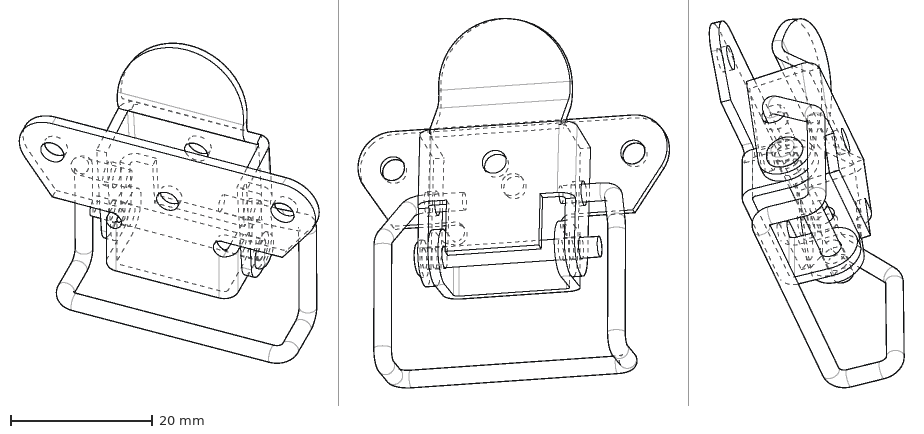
import cadquery as cq
import math

SHEET = 1.5
BEND_OUTER = 2.1
BEND_INNER = BEND_OUTER - SHEET
FLANGE_OUTER_X = 9.9
LEG_OUTER_X = FLANGE_OUTER_X + SHEET
PIVOT_RADIUS = 4.0
PIVOT_Y = 7.5
PIVOT_Z = PIVOT_RADIUS
PIVOT_HOLE_DIA = 3.15

PLATE_WIDTH = 44.95
PLATE_TOP_Z = 25.0
EAR_RADIUS = 5.0
EAR_X = PLATE_WIDTH / 2 - EAR_RADIUS
EAR_Z = PLATE_TOP_Z - EAR_RADIUS
WING_BOTTOM_Z = 11.0
MOUNT_HOLE_DIA = 3.5
MOUNT_HOLE_Z = 19.5
CENTER_HOLE_DIA = 3.25
CENTER_HOLE_Z = 15.95
RELIEF_RADIUS = 1.5
RELIEF_X = FLANGE_OUTER_X - SHEET
RELIEF_Z = WING_BOTTOM_Z - RELIEF_RADIUS

LEVER_TILT = 6.0
LEVER_TOP = 17.0
WEB_BACK = 6.4
WEB_BOTTOM = 6.0
TONGUE_WIDTH = 13.6
TONGUE_BOTTOM = -1.85
WEB_HOLE_DIA = 3.5
WEB_HOLE_HEIGHT = 11.4
WIRE_HOLE_DIA = 3.5
WIRE_HOLE_Y = -0.8
WIRE_HOLE_Z = 8.7
TAB_RADIUS = 9.55
ARM_LEAN = 40.0
BLADE_LEAN = 20.0
ARM_LENGTH = 6.6
TAB_BEND_INNER = 3.0
TAB_BEND_OUTER = TAB_BEND_INNER + SHEET

PIN_DIA = 2.95
PIN_TIP_X = -14.1
PIN_HEAD_DIA = 5.4
PIN_HEAD_HEIGHT = 1.05
PIN_HEAD_ROUND = 0.95

WIRE_DIA = 2.55
WIRE_BEND = 2.0
BAIL_SHIFT_X = -1.05
BAIL_X = 17.0
BAR_Y = 4.9
BAR_Z = -12.8
BAIL_BACK_Y = 13.9
ELBOW_Y = 13.7
ELBOW_Z = 5.3
EYE_X = 14.55
EYE_Y = 5.8
EYE_Z = 12.6
WIRE_END_X = 7.0


def x_cylinder(diameter, x_start, x_end, y, z):
    """Cylinder along X."""
    return (
        cq.Workplane("YZ", origin=(x_start, 0, 0))
        .center(y, z)
        .circle(diameter / 2)
        .extrude(x_end - x_start)
    )


def y_cylinder(diameter, x, y_start, y_end, z):
    """Cylinder along Y."""
    return (
        cq.Workplane("XZ", origin=(0, y_start, 0))
        .center(x, z)
        .circle(diameter / 2)
        .extrude(y_start - y_end)
    )


def bent_channel(outer_x, web_y, open_y, bottom_z, top_z):
    """U-shaped sheet channel with its web at web_y and two sides reaching at least to open_y."""
    depth = open_y - web_y

    def rounded_block(half_width, face_y, radius):
        return (
            cq.Workplane("XY", origin=(0, face_y + depth, bottom_z))
            .rect(2 * half_width, 2 * abs(depth))
            .extrude(top_z - bottom_z)
            .edges("|Z")
            .fillet(radius)
        )

    outer = rounded_block(outer_x, web_y, BEND_OUTER)
    inner = rounded_block(outer_x - SHEET, web_y + math.copysign(SHEET, depth), BEND_INNER)
    return outer.cut(inner)


def ear_tangent_point():
    """Point where the slanted wing edge, starting below the ear centre, meets the ear arc."""
    angle = math.asin(EAR_RADIUS / (EAR_Z - WING_BOTTOM_Z))
    return EAR_X + EAR_RADIUS * math.cos(angle), EAR_Z - EAR_RADIUS * math.sin(angle)


def make_bracket():
    tangent_x, tangent_z = ear_tangent_point()
    mid_angle = (math.pi / 2 - math.asin((EAR_Z - tangent_z) / EAR_RADIUS)) / 2
    mid_x = EAR_X + EAR_RADIUS * math.cos(mid_angle)
    mid_z = EAR_Z + EAR_RADIUS * math.sin(mid_angle)
    wings = (
        cq.Workplane("XZ")
        .moveTo(-EAR_X, WING_BOTTOM_Z)
        .lineTo(EAR_X, WING_BOTTOM_Z)
        .lineTo(tangent_x, tangent_z)
        .threePointArc((mid_x, mid_z), (EAR_X, PLATE_TOP_Z))
        .lineTo(-EAR_X, PLATE_TOP_Z)
        .threePointArc((-mid_x, mid_z), (-tangent_x, tangent_z))
        .close()
        .extrude(-SHEET)
    )

    flange_back = PIVOT_Y + PIVOT_RADIUS
    channel = bent_channel(FLANGE_OUTER_X, 0, flange_back, 0, WING_BOTTOM_Z)
    side_outline = (
        cq.Workplane("YZ", origin=(-FLANGE_OUTER_X, 0, 0))
        .lineTo(PIVOT_Y, 0)
        .threePointArc((flange_back, PIVOT_Z), (PIVOT_Y, 2 * PIVOT_RADIUS))
        .lineTo(SHEET, 2 * PIVOT_RADIUS)
        .lineTo(SHEET, WING_BOTTOM_Z)
        .lineTo(0, WING_BOTTOM_Z)
        .close()
        .extrude(2 * FLANGE_OUTER_X)
    )
    bracket = wings.union(channel.intersect(side_outline))

    slot_length = FLANGE_OUTER_X - RELIEF_X
    for side in (-1, 1):
        relief = y_cylinder(2 * RELIEF_RADIUS, side * RELIEF_X, 0, BEND_OUTER, RELIEF_Z)
        slot = cq.Workplane("XY").box(
            slot_length, BEND_OUTER, 2 * RELIEF_RADIUS, centered=(True, False, True)
        )
        slot = slot.translate((side * (RELIEF_X + slot_length / 2), 0, RELIEF_Z))
        bracket = bracket.cut(relief).cut(slot)

    for x in (-EAR_X, EAR_X):
        bracket = bracket.cut(y_cylinder(MOUNT_HOLE_DIA, x, 0, SHEET, MOUNT_HOLE_Z))
    bracket = bracket.cut(y_cylinder(CENTER_HOLE_DIA, 0, 0, SHEET, CENTER_HOLE_Z))
    pivot = x_cylinder(PIVOT_HOLE_DIA, -FLANGE_OUTER_X, FLANGE_OUTER_X, PIVOT_Y, PIVOT_Z)
    return bracket.cut(pivot)


def make_lever_channel():
    """U-shaped channel: two legs around the pivot joined by the back web."""
    channel = bent_channel(LEG_OUTER_X, WEB_BACK, -PIVOT_RADIUS, -PIVOT_RADIUS, LEVER_TOP)
    side_outline = (
        cq.Workplane("YZ", origin=(-LEG_OUTER_X, 0, 0))
        .moveTo(-PIVOT_RADIUS, 0)
        .threePointArc((0, -PIVOT_RADIUS), (PIVOT_RADIUS, 0))
        .lineTo(PIVOT_RADIUS, WEB_BOTTOM)
        .lineTo(WEB_BACK, WEB_BOTTOM)
        .lineTo(WEB_BACK, LEVER_TOP)
        .lineTo(-PIVOT_RADIUS, LEVER_TOP)
        .close()
        .extrude(2 * LEG_OUTER_X)
    )
    tongue = cq.Workplane("XY").box(
        TONGUE_WIDTH, SHEET, WEB_BOTTOM - TONGUE_BOTTOM, centered=(True, False, False)
    )
    tongue = tongue.translate((0, WEB_BACK - SHEET, TONGUE_BOTTOM))
    return channel.intersect(side_outline).union(tongue)


def make_thumb_tab():
    """Arm leaning forward from the web top, a round bend, and a blade leaning back."""
    arm = math.radians(ARM_LEAN)
    blade = math.radians(BLADE_LEAN)
    middle = (arm - blade) / 2
    miter_drop = SHEET * math.tan(arm / 2)
    arm_end_y = WEB_BACK - ARM_LENGTH * math.sin(arm)
    arm_end_z = LEVER_TOP + ARM_LENGTH * math.cos(arm)
    bend_y = arm_end_y + TAB_BEND_INNER * math.cos(arm)
    bend_z = arm_end_z + TAB_BEND_INNER * math.sin(arm)

    def on_bend(radius, lean):
        return bend_y - radius * math.cos(lean), bend_z - radius * math.sin(lean)

    strip = (
        cq.Workplane("YZ", origin=(-TAB_RADIUS, 0, 0))
        .moveTo(WEB_BACK, LEVER_TOP)
        .lineTo(*on_bend(TAB_BEND_INNER, arm))
        .threePointArc(on_bend(TAB_BEND_INNER, middle), on_bend(TAB_BEND_INNER, -blade))
        .lineTo(*on_bend(TAB_BEND_OUTER, -blade))
        .threePointArc(on_bend(TAB_BEND_OUTER, middle), on_bend(TAB_BEND_OUTER, arm))
        .lineTo(WEB_BACK - SHEET, LEVER_TOP - miter_drop)
        .lineTo(WEB_BACK, LEVER_TOP - miter_drop)
        .close()
        .extrude(2 * TAB_RADIUS)
    )
    blade_plane = cq.Plane(
        origin=(0, *on_bend(TAB_BEND_OUTER, -blade)),
        xDir=(1, 0, 0),
        normal=(0, -math.cos(blade), math.sin(blade)),
    )
    round_end = (
        cq.Workplane(blade_plane)
        .moveTo(-TAB_RADIUS, 0)
        .threePointArc((0, TAB_RADIUS), (TAB_RADIUS, 0))
        .close()
        .extrude(-SHEET)
    )
    return strip.union(round_end)


def make_lever():
    lever = make_lever_channel().union(make_thumb_tab())
    lever = lever.cut(x_cylinder(PIVOT_HOLE_DIA, -LEG_OUTER_X, LEG_OUTER_X, 0, 0))
    lever = lever.cut(x_cylinder(WIRE_HOLE_DIA, -LEG_OUTER_X, LEG_OUTER_X, WIRE_HOLE_Y, WIRE_HOLE_Z))
    lever = lever.cut(y_cylinder(WEB_HOLE_DIA, 0, WEB_BACK - SHEET, WEB_BACK, WEB_HOLE_HEIGHT))
    return lever.rotate((0, 0, 0), (1, 0, 0), LEVER_TILT).translate((0, PIVOT_Y, PIVOT_Z))


def make_pin():
    shank = x_cylinder(PIN_DIA, PIN_TIP_X, LEG_OUTER_X, PIVOT_Y, PIVOT_Z)
    head = x_cylinder(PIN_HEAD_DIA, LEG_OUTER_X, LEG_OUTER_X + PIN_HEAD_HEIGHT, PIVOT_Y, PIVOT_Z)
    return shank.union(head.faces(">X").edges().fillet(PIN_HEAD_ROUND))


def rounded_path(corners, radius):
    """Straight segments through the corners, joined by tangent arcs."""
    points = [cq.Vector(*corner) for corner in corners]
    edges = []
    start = points[0]
    for before, corner, after in zip(points, points[1:], points[2:]):
        back = (before - corner).normalized()
        ahead = (after - corner).normalized()
        half_angle = back.getAngle(ahead) / 2
        setback = radius / math.tan(half_angle)
        arc_gap = radius / math.sin(half_angle) - radius
        arc_start = corner + back * setback
        arc_middle = corner + (back + ahead).normalized() * arc_gap
        arc_end = corner + ahead * setback
        edges.append(cq.Edge.makeLine(start, arc_start))
        edges.append(cq.Edge.makeThreePointArc(arc_start, arc_middle, arc_end))
        start = arc_end
    edges.append(cq.Edge.makeLine(start, points[-1]))
    return cq.Wire.assembleEdges(edges)


def make_bail():
    """Bent wire: its two ends enter the lever legs and its front bar runs along X."""
    left_half = [
        (-WIRE_END_X, EYE_Y, EYE_Z),
        (-EYE_X, EYE_Y, EYE_Z),
        (-BAIL_X, ELBOW_Y, ELBOW_Z),
        (-BAIL_X, BAIL_BACK_Y, BAR_Z),
        (-BAIL_X, BAR_Y, BAR_Z),
    ]
    right_half = [(-x, y, z) for x, y, z in reversed(left_half)]
    path = rounded_path(left_half + right_half, WIRE_BEND)
    section = cq.Workplane("YZ", origin=left_half[0]).circle(WIRE_DIA / 2)
    return section.sweep(cq.Workplane(path)).translate((BAIL_SHIFT_X, 0, 0))


bracket = make_bracket()
lever = make_lever()
pin = make_pin()
bail = make_bail()

result = cq.Compound.makeCompound([body.solids().val() for body in (bracket, lever, pin, bail)])